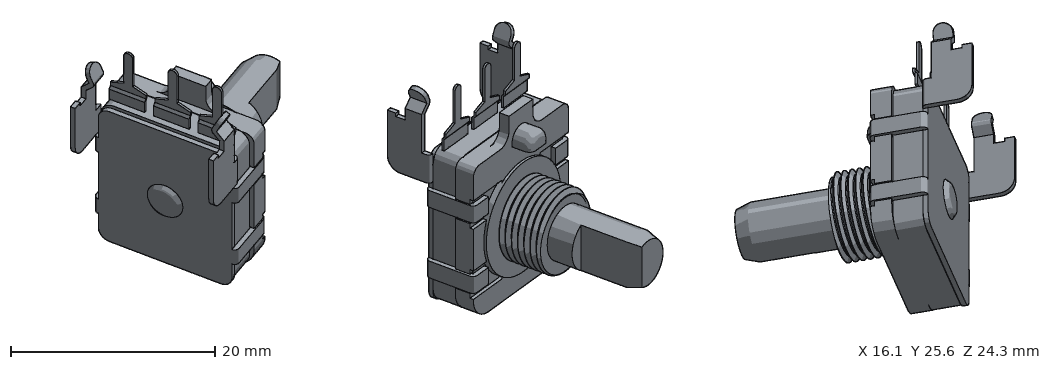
import cadquery as cq
import math


overall_length = 25.65

lip_half_width = 8.0
lip_top = 9.29
body_bottom = -8.28
lip_depth = 2.18
lip_top_radius = 1.0
lip_bottom_radius = 2.51
case_half_width = 7.52
case_top = 9.35
case_back = -5.2
case_top_radius = 1.5
case_bottom_radius = 1.82

flange_radius = 6.25
flange_front = 0.3
bushing_length = 5.0
bushing_front = flange_front + bushing_length
thread_crest_radius = 4.51
thread_root_radius = 3.95
thread_pitch = 0.75
thread_root_flat = 0.05
thread_crest_flat = 0.05
thread_crest_offset = 0.6
thread_embed = 0.08
shaft_radius = 3.0
shaft_length = 15.0
shaft_tip = flange_front + shaft_length
shaft_chamfer_inset = 0.45
shaft_chamfer_length = 1.5
shaft_flat_offset = 1.5
shaft_flat_length = 7.0

lug_half_width = 2.0
lug_top = 12.4
lug_thickness = 1.18
lug_root_radius = 1.51
pin_radius = 1.51
pin_center_height = 9.0
pin_bottom = 8.65
pin_length = 2.3
pin_edge_radius = 0.8

terminal_spacing = 5.0
terminal_count = 3
terminal_half_width = 2.0
terminal_neck_half_width = 0.51
terminal_shoulder = 11.4
terminal_neck = 11.9
terminal_top = 16.0
terminal_thickness = 0.25
terminal_back = -4.51
terminal_jog = 0.25
terminal_jog_low = 10.67
terminal_jog_high = 10.95

sheet = 0.55
plate_top = 8.98
plate_bottom = -8.15
plate_corner_radius = 1.28
plate_back = case_back - sheet
bracket_half_width = case_half_width + sheet
boss_base_radius = 2.0
boss_cone_radius = 1.67
boss_top_radius = 1.3
boss_cone_height = 0.33
boss_height = 0.5
clip_low = 3.08
clip_high = 5.0
hook_inner_x = 5.65

notch_low = 2.9
notch_high = 5.1
recess_low = 2.39
recess_high = 5.65
recess_depth = 0.4
recess_corner_radius = 0.15

leg_bottom = 5.75
leg_front = -6.2
leg_back = shaft_tip - overall_length
leg_corner_radius = 1.51
finger_back = -8.2
step_front = -9.34
step_floor = 12.05
step_top = 12.45
finger_bend = 13.25
finger_lean = 0.87
finger_tip_length = 1.62
finger_tip_angle = math.radians(25)
finger_inner_bend_radius = 0.55
finger_tip_roundness = 0.99


def block(x_low, x_high, y_low, y_high, z_low, z_high):
    """Box given by its limits on the three axes."""
    size = (x_high - x_low, y_high - y_low, z_high - z_low)
    return cq.Workplane("XY").box(*size, centered=False).translate((x_low, y_low, z_low))


def disc(radius, y_low, y_high):
    """Cylinder on the shaft axis."""
    return cq.Workplane("XZ", origin=(0, y_low, 0)).circle(radius).extrude(y_low - y_high)


def rounded_block(half_width, z_low, z_high, y_low, y_high, bottom_radius, top_radius):
    """Slab across the shaft axis with its own bottom and top corner radii."""
    slab = block(-half_width, half_width, y_low, y_high, z_low, z_high)
    slab = slab.faces("<Z").edges("|Y").fillet(bottom_radius)
    return slab.faces(">Z").edges("|Y").fillet(top_radius)


def make_clip_clearance(side, end):
    """Side notch and front recess for one clip; side and end are the signs of X and Z."""
    outer = lip_half_width + sheet
    notch = block(case_half_width, outer, -lip_depth, 0, notch_low, notch_high)
    recess = block(0, outer, -recess_depth, 0, recess_low, recess_high)
    recess = recess.cut(disc(flange_radius, -recess_depth, 0))
    recess = recess.edges("|Y").edges("<X").fillet(recess_corner_radius)
    clearance = notch.union(recess)
    if side < 0:
        clearance = clearance.mirror("YZ")
    if end < 0:
        clearance = clearance.mirror("XY")
    return clearance


def make_lug():
    """Flat tab above the lip, flared into it by concave arcs."""
    flare = lug_half_width + lug_root_radius
    arc_mid = lug_root_radius * (1 - math.sqrt(0.5))
    return (
        cq.Workplane("XZ")
        .moveTo(-flare, lip_top)
        .threePointArc(
            (-lug_half_width - arc_mid, lip_top + arc_mid),
            (-lug_half_width, lip_top + lug_root_radius),
        )
        .lineTo(-lug_half_width, lug_top)
        .lineTo(lug_half_width, lug_top)
        .lineTo(lug_half_width, lip_top + lug_root_radius)
        .threePointArc(
            (lug_half_width + arc_mid, lip_top + arc_mid),
            (flare, lip_top),
        )
        .close()
        .extrude(lug_thickness)
    )


def make_pin():
    """Locating pin: round on top, flat below, with a rounded front edge."""
    pin = (
        cq.Workplane("XZ")
        .moveTo(-pin_radius, pin_bottom)
        .lineTo(-pin_radius, pin_center_height)
        .threePointArc((0, pin_center_height + pin_radius), (pin_radius, pin_center_height))
        .lineTo(pin_radius, pin_bottom)
        .close()
        .extrude(-pin_length)
    )
    return pin.faces(">Y").edges("not <Z").fillet(pin_edge_radius)


def make_terminal(x):
    """Jogged sheet strip that narrows to a round-ended solder pin."""
    root = case_top
    back = terminal_back
    front = back + terminal_thickness
    strip = (
        cq.Workplane("YZ", origin=(x - terminal_half_width, 0, 0))
        .polyline([
            (back, root),
            (back, terminal_jog_low),
            (back + terminal_jog, terminal_jog_high),
            (back + terminal_jog, terminal_top),
            (front + terminal_jog, terminal_top),
            (front + terminal_jog, terminal_jog_high),
            (front, terminal_jog_low),
            (front, root),
        ])
        .close()
        .extrude(2 * terminal_half_width)
    )
    wide, neck = terminal_half_width, terminal_neck_half_width
    outline = (
        cq.Workplane("XZ", origin=(x, 0, 0))
        .moveTo(-wide, root)
        .lineTo(-wide, terminal_shoulder)
        .lineTo(-neck, terminal_neck)
        .lineTo(-neck, terminal_top - neck)
        .threePointArc((0, terminal_top), (neck, terminal_top - neck))
        .lineTo(neck, terminal_neck)
        .lineTo(wide, terminal_shoulder)
        .lineTo(wide, root)
        .close()
        .extrude(-case_back)
    )
    return strip.intersect(outline)


def make_bushing():
    """Bushing with a right-handed helical ridge, cut square at both ends."""
    start = thread_crest_offset - 2 * thread_pitch
    turns = math.ceil((bushing_front - start) / thread_pitch) + 1
    helix = cq.Wire.makeHelix(thread_pitch, turns * thread_pitch, thread_root_radius)
    root_half = (thread_pitch - thread_root_flat) / 2
    crest_half = thread_crest_flat / 2
    ridge = (
        cq.Workplane("XZ")
        .polyline([
            (thread_root_radius - thread_embed, -root_half),
            (thread_crest_radius, -crest_half),
            (thread_crest_radius, crest_half),
            (thread_root_radius - thread_embed, root_half),
        ])
        .close()
        .sweep(cq.Workplane(helix), isFrenet=True)
        .rotate((0, 0, 0), (1, 0, 0), -90)
        .translate((0, start, 0))
    )
    core = disc(thread_root_radius, start - thread_pitch, bushing_front + 2 * thread_pitch)
    return core.union(ridge).intersect(disc(flange_radius, flange_front, bushing_front))


def make_shaft():
    """Shaft with a flat on its +X side and a long chamfer all around its D-shaped tip."""
    flat_start = shaft_tip - shaft_flat_length
    flat_cut = block(
        shaft_flat_offset, shaft_radius, flat_start, shaft_tip, -shaft_radius, shaft_radius
    )
    shaft = disc(shaft_radius, 0, shaft_tip).cut(flat_cut)
    return shaft.faces(">Y").chamfer(shaft_chamfer_length, shaft_chamfer_inset)


def make_housing():
    """Lip, case, flange, bushing, shaft, lug, pin and terminals in one solid."""
    lip = rounded_block(
        lip_half_width, body_bottom, lip_top, -lip_depth, 0, lip_bottom_radius, lip_top_radius
    )
    for side in (-1, 1):
        for end in (-1, 1):
            lip = lip.cut(make_clip_clearance(side, end))
    case = rounded_block(
        case_half_width, body_bottom, case_top, case_back, -lip_depth,
        case_bottom_radius, case_top_radius,
    )
    housing = lip.union(case)
    housing = housing.union(make_lug()).union(make_pin())
    for index in range(terminal_count):
        x = (index - (terminal_count - 1) / 2) * terminal_spacing
        housing = housing.union(make_terminal(x))
    housing = housing.union(disc(flange_radius, -recess_depth, flange_front))
    return housing.union(make_bushing()).union(make_shaft())


def make_boss():
    """Low conical dome on the back plate, with a rounded rim."""
    return (
        cq.Workplane("XY")
        .moveTo(0, plate_back)
        .lineTo(boss_base_radius, plate_back)
        .lineTo(boss_cone_radius, plate_back - boss_cone_height)
        .tangentArcPoint((boss_top_radius, plate_back - boss_height), relative=False)
        .lineTo(0, plate_back - boss_height)
        .close()
        .revolve(360, (0, 0, 0), (0, 1, 0))
    )


def make_clip(end):
    """Clip on the +X side: a strip bent around the case and hooked over the lip."""
    hook_front = sheet - recess_depth
    clip = block(hook_inner_x, bracket_half_width, plate_back, hook_front, clip_low, clip_high)
    clip = clip.edges("|Z and >X").fillet(sheet)
    clip = clip.cut(
        block(0, case_half_width, case_back, -recess_depth, clip_low, clip_high)
    )
    return clip if end > 0 else clip.mirror("XY")


def make_finger():
    """Upper part of the +X leg: it leans inward, then its round tip leans outward."""
    outer, inner = bracket_half_width, case_half_width
    lean_angle = math.pi / 4
    first_shift = sheet * math.tan(lean_angle / 2)
    outer_bend = finger_bend + first_shift / 2
    knee = (outer - finger_lean, outer_bend + finger_lean)
    tip_along = (math.sin(finger_tip_angle), math.cos(finger_tip_angle))
    tip_across = (-math.cos(finger_tip_angle), math.sin(finger_tip_angle))
    knee_shift = sheet * math.tan((lean_angle + finger_tip_angle) / 2)
    inner_knee = (
        knee[0] + sheet * tip_across[0] - knee_shift * tip_along[0],
        knee[1] + sheet * tip_across[1] - knee_shift * tip_along[1],
    )
    tip_outer = (
        knee[0] + finger_tip_length * tip_along[0],
        knee[1] + finger_tip_length * tip_along[1],
    )
    tip_inner = (tip_outer[0] + sheet * tip_across[0], tip_outer[1] + sheet * tip_across[1])
    finger = (
        cq.Workplane("XZ", origin=(0, leg_front, 0))
        .polyline([
            (outer, step_floor),
            (outer, outer_bend),
            knee,
            tip_outer,
            tip_inner,
            inner_knee,
            (inner, outer_bend - first_shift),
            (inner, step_floor),
        ])
        .close()
        .extrude(leg_front - finger_back)
    )
    finger = finger.edges("|Y and <X").fillet(finger_inner_bend_radius)
    half_width = (leg_front - finger_back) / 2
    tip_corners = finger.faces(cq.selectors.DirectionMinMaxSelector(
        cq.Vector(tip_along[0], 0, tip_along[1]), True
    )).edges("not |Y")
    return tip_corners.fillet(finger_tip_roundness * half_width)


def make_leg():
    """Mounting leg on the +X side, bent back from the plate edge."""
    root = block(
        case_half_width - sheet, bracket_half_width, leg_front, case_back, leg_bottom, plate_top
    )
    root = root.edges("|Z and >X and >Y").fillet(sheet)
    root = root.cut(block(0, case_half_width, leg_front, case_back, leg_bottom, plate_top))
    panel = (
        cq.Workplane("YZ", origin=(case_half_width, 0, 0))
        .moveTo(leg_front, leg_bottom)
        .lineTo(leg_front, step_floor)
        .lineTo(step_front, step_floor)
        .lineTo(step_front, step_top)
        .lineTo(leg_back, step_top)
        .lineTo(leg_back, leg_bottom + leg_corner_radius)
        .radiusArc((leg_back + leg_corner_radius, leg_bottom), -leg_corner_radius)
        .close()
        .extrude(sheet)
    )
    return root.union(panel).union(make_finger())


def make_bracket():
    """Back plate with its boss, four clips and two mounting legs."""
    bracket = rounded_block(
        case_half_width, plate_bottom, plate_top, plate_back, case_back,
        plate_corner_radius, plate_corner_radius,
    )
    bracket = bracket.union(make_boss())
    side_parts = make_leg().union(make_clip(1)).union(make_clip(-1))
    return bracket.union(side_parts).union(side_parts.mirror("YZ"))


housing = make_housing()
bracket = make_bracket()

result = cq.Compound.makeCompound([housing.solids().val(), bracket.solids().val()])